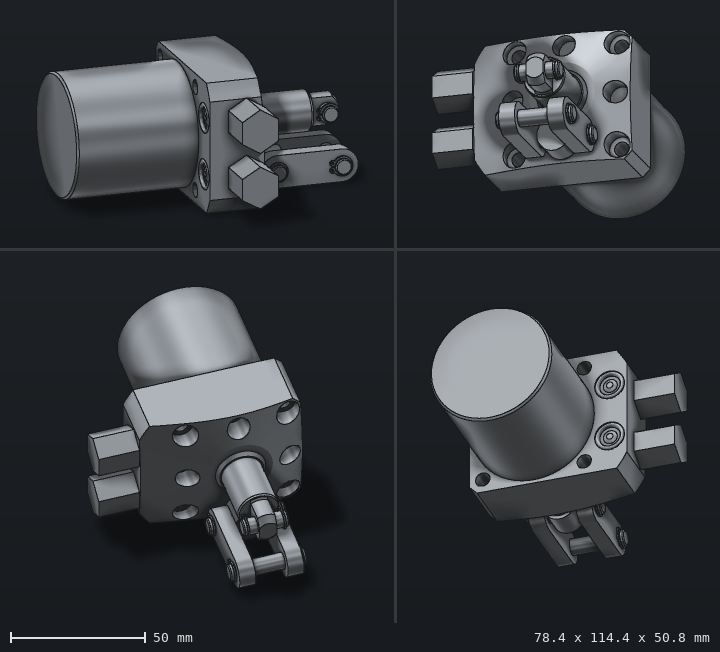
import cadquery as cq
import math


block_half = 25.4
block_right_x = 36.8
block_corner_radius = 41.5
block_chamfer = 3.1
crown_y = 28.5
crown_flat_radius = 12.7
crown_angle = 16.0
barrel_radius = 24.0
barrel_length = 47.7
barrel_chamfer = 0.8

hole_offset = 20.0
mount_hole_diameter = 5.6
counterbore_diameter = 9.5
socket_diameter = 8.8
recess_floor_y = 18.3

collar_height = 1.5
collar_base_radius = 9.8
collar_top_radius = 8.6

port_z = 11.0
seal_x = 30.0
seal_outer_radius = 5.8
seal_inner_radius = 4.1
seal_height = 0.3
seal_pocket_depth = 1.0
nozzle_height = 0.7
nozzle_base_radius = 2.7
nozzle_tip_radius = 1.3
fitting_y = 14.3
fitting_end_x = 53.0
fitting_gap = 0.3
fitting_neck_radius = 4.0
fitting_width = 14.2
upper_fitting_height = 17.0
lower_fitting_height = 16.3

rod_radius = 8.0
rod_shoulder_y = 50.7
rod_edge_chamfer = (0.3, 0.8)
rod_pin_y = 57.3
rod_pin_half_length = 8.8
rod_clip_x = 6.7

tongue_radius = 6.4
tongue_thickness = 6.7
tongue_tip = 4.7
tongue_chamfer = 2.4
tongue_flare = 0.7

lug_z = -18.9
lug_radius = 6.4
lug_tip = 4.7
lug_post_radius = 4.9
lug_shoulder_y = 30.0
link_radius = lug_radius
link_length = 25.4
link_inner_x = 6.3
link_outer_x = 12.6
near_pin_y = crown_y + link_radius
far_pin_y = near_pin_y + link_length
link_pin_half_length = 15.0
link_clip_x = 12.9

pin_radius = 3.2
pin_chamfer = 0.5
clip_thickness = 0.7
clip_radius = 3.9
clip_gap = 0.6
ear_radius = 1.0
ear_reach = 4.0
ear_offset = 1.4
ear_hole_radius = 0.4


def cylinder_y(radius, start_y, end_y, x=0.0, z=0.0):
    """Cylinder along +Y from start_y to end_y."""
    base = cq.Vector(x, start_y, z)
    return cq.Workplane(cq.Solid.makeCylinder(radius, end_y - start_y, base, cq.Vector(0, 1, 0)))


def turned(points):
    """Solid of revolution about the Y axis from (radius, y) points."""
    return cq.Workplane("XY").polyline(points).close().revolve(360, (0, 0, 0), (0, 1, 0))


def box(x_range, y_range, z_range):
    """Box given by its limits along each axis."""
    (x0, x1), (y0, y1), (z0, z1) = x_range, y_range, z_range
    return cq.Workplane(cq.Solid.makeBox(x1 - x0, y1 - y0, z1 - z0, cq.Vector(x0, y0, z0)))


def mirrored_pair(shape):
    """The shape and its mirror image across the YZ plane."""
    return shape, shape.mirror("YZ")


def retaining_clip(inner_x):
    """Open ring with two drilled ears, on a pin along X centred at the origin."""
    plane = cq.Workplane("YZ").workplane(offset=inner_x)
    clip = plane.circle(clip_radius).extrude(clip_thickness)
    ears = [(-ear_reach, -ear_offset), (-ear_reach, ear_offset)]
    clip = clip.union(plane.pushPoints(ears).circle(ear_radius).extrude(clip_thickness))
    clip = clip.cut(plane.pushPoints(ears).circle(ear_hole_radius).extrude(clip_thickness))
    opening = plane.center(-ear_reach, 0).rect(2 * ear_reach, clip_gap).extrude(clip_thickness)
    return clip.cut(opening)


def pin_with_clips(half_length, clip_x, y, z):
    """Pin along X with chamfered ends and a retaining clip near each end."""
    pin = cq.Workplane("YZ").circle(pin_radius).extrude(half_length, both=True)
    pin = pin.faces("<X or >X").chamfer(pin_chamfer)
    for clip in mirrored_pair(retaining_clip(clip_x)):
        pin = pin.union(clip)
    return pin.translate((0, y, z))


def flatten(solid, half_thickness, radius, y_range):
    """Cut two flats, facing -X and +X, on a round solid of the given radius."""
    slab = box((half_thickness, radius), y_range, (-radius, radius))
    for side in mirrored_pair(slab):
        solid = solid.cut(side)
    return solid


def make_block():
    """Crowned block: its outline in XZ, cut by the cone around the rod axis."""
    arc_start_x = math.sqrt(block_corner_radius**2 - block_half**2)
    arc_end_z = math.sqrt(block_corner_radius**2 - block_right_x**2)
    arc_mid_angle = (math.atan2(block_half, arc_start_x) + math.atan2(arc_end_z, block_right_x)) / 2
    arc_mid_x = block_corner_radius * math.cos(arc_mid_angle)
    arc_mid_z = block_corner_radius * math.sin(arc_mid_angle)
    chamfer_end = block_half - block_chamfer
    outline = (
        cq.Workplane("XZ")
        .moveTo(-block_half, -chamfer_end)
        .lineTo(-chamfer_end, -block_half)
        .lineTo(arc_start_x, -block_half)
        .threePointArc((arc_mid_x, -arc_mid_z), (block_right_x, -arc_end_z))
        .lineTo(block_right_x, arc_end_z)
        .threePointArc((arc_mid_x, arc_mid_z), (arc_start_x, block_half))
        .lineTo(-chamfer_end, block_half)
        .lineTo(-block_half, chamfer_end)
        .close()
    )
    cone_radius = block_corner_radius
    cone_fall = (cone_radius - crown_flat_radius) * math.tan(math.radians(crown_angle))
    crown = turned([
        (0, 0),
        (cone_radius, 0),
        (cone_radius, crown_y - cone_fall),
        (crown_flat_radius, crown_y),
        (0, crown_y),
    ])
    return outline.extrude(-crown_y).intersect(crown)


def make_fitting(z, height):
    """Hexagonal fitting along X with corners pointing up and down, on a short neck."""
    half_width = fitting_width / 2
    hexagon = [
        (fitting_y, z + height / 2),
        (fitting_y + half_width, z + height / 4),
        (fitting_y + half_width, z - height / 4),
        (fitting_y, z - height / 2),
        (fitting_y - half_width, z - height / 4),
        (fitting_y - half_width, z + height / 4),
    ]
    hex_start_x = block_right_x + fitting_gap
    hex_outline = cq.Workplane("YZ").workplane(offset=hex_start_x).polyline(hexagon).close()
    neck_plane = cq.Workplane("YZ").workplane(offset=block_right_x).center(fitting_y, z)
    neck = neck_plane.circle(fitting_neck_radius).extrude(fitting_gap)
    return hex_outline.extrude(fitting_end_x - hex_start_x).union(neck)


def add_port_seal(housing, z):
    """Round-topped ring in a shallow pocket, with a central cone on the pocket floor."""
    housing = housing.cut(cylinder_y(seal_outer_radius, 0, seal_pocket_depth, seal_x, z))
    ring_half_width = (seal_outer_radius - seal_inner_radius) / 2
    ring_middle = (seal_inner_radius + seal_outer_radius) / 2
    arc_centre_y = ring_half_width - seal_height
    ring = (
        cq.Workplane("XY")
        .moveTo(seal_inner_radius, seal_pocket_depth)
        .lineTo(seal_inner_radius, arc_centre_y)
        .threePointArc((ring_middle, -seal_height), (seal_outer_radius, arc_centre_y))
        .lineTo(seal_outer_radius, seal_pocket_depth)
        .close()
        .revolve(360, (0, 0, 0), (0, 1, 0))
    )
    nozzle_tip_y = seal_pocket_depth - nozzle_height
    nozzle = turned([
        (0, seal_pocket_depth),
        (nozzle_base_radius, seal_pocket_depth),
        (nozzle_tip_radius, nozzle_tip_y),
        (0, nozzle_tip_y),
    ])
    for part in (ring, nozzle):
        housing = housing.union(part.translate((seal_x, 0, z)))
    return housing


def make_housing():
    housing = make_block()
    barrel = cylinder_y(barrel_radius, -barrel_length, 0).faces("<Y").chamfer(barrel_chamfer)
    housing = housing.union(barrel)

    collar_top_y = crown_y + collar_height
    collar = turned([
        (0, crown_y),
        (collar_base_radius, crown_y),
        (collar_top_radius, collar_top_y),
        (0, collar_top_y),
    ])
    housing = housing.union(collar)

    for x in (-hole_offset, hole_offset):
        for z in (-hole_offset, hole_offset):
            housing = housing.cut(cylinder_y(mount_hole_diameter / 2, 0, crown_y, x, z))
            housing = housing.cut(cylinder_y(counterbore_diameter / 2, recess_floor_y, crown_y, x, z))
    for x, z in ((-hole_offset, 0), (hole_offset, 0), (0, hole_offset)):
        housing = housing.cut(cylinder_y(socket_diameter / 2, recess_floor_y, crown_y, x, z))

    housing = housing.cut(cylinder_y(lug_post_radius, recess_floor_y, crown_y, 0, lug_z))
    housing = housing.cut(cylinder_y(rod_radius, 0, collar_top_y))

    for z in (-port_z, port_z):
        housing = add_port_seal(housing, z)
    housing = housing.union(make_fitting(port_z, upper_fitting_height))
    return housing.union(make_fitting(-port_z, lower_fitting_height))


def make_rod():
    tip_y = rod_pin_y + tongue_tip
    radial, axial = rod_edge_chamfer
    rod = turned([
        (0, 0),
        (rod_radius, 0),
        (rod_radius, rod_shoulder_y - axial),
        (rod_radius - radial, rod_shoulder_y),
        (tongue_radius + tongue_flare, rod_shoulder_y),
        (tongue_radius, rod_shoulder_y + tongue_flare),
        (tongue_radius, tip_y - tongue_chamfer),
        (tongue_radius - tongue_chamfer, tip_y),
        (0, tip_y),
    ])
    rod = flatten(rod, tongue_thickness / 2, rod_radius, (rod_shoulder_y, tip_y))
    return rod.union(pin_with_clips(rod_pin_half_length, rod_clip_x, rod_pin_y, 0))


def make_lug():
    """Round lug, flattened between the links, on a post set in the crown."""
    tip_y = near_pin_y + lug_tip
    post = cylinder_y(lug_post_radius, recess_floor_y, crown_y)
    lug = post.union(cylinder_y(lug_radius, crown_y, tip_y))
    return flatten(lug, link_inner_x, lug_radius, (lug_shoulder_y, tip_y)).translate((0, 0, lug_z))


def make_link():
    """Flat bar with round ends, on the +X side."""
    return (
        cq.Workplane("YZ")
        .workplane(offset=link_inner_x)
        .center((near_pin_y + far_pin_y) / 2, lug_z)
        .slot2D(link_length + 2 * link_radius, 2 * link_radius)
        .extrude(link_outer_x - link_inner_x)
    )


def make_link_assembly():
    assembly = make_lug()
    for pin_y in (near_pin_y, far_pin_y):
        assembly = assembly.union(pin_with_clips(link_pin_half_length, link_clip_x, pin_y, lug_z))
    for link in mirrored_pair(make_link()):
        assembly = assembly.union(link)
    return assembly


housing = make_housing()
rod = make_rod()
link_assembly = make_link_assembly()

result = cq.Compound.makeCompound([housing.val(), rod.val(), link_assembly.val()])